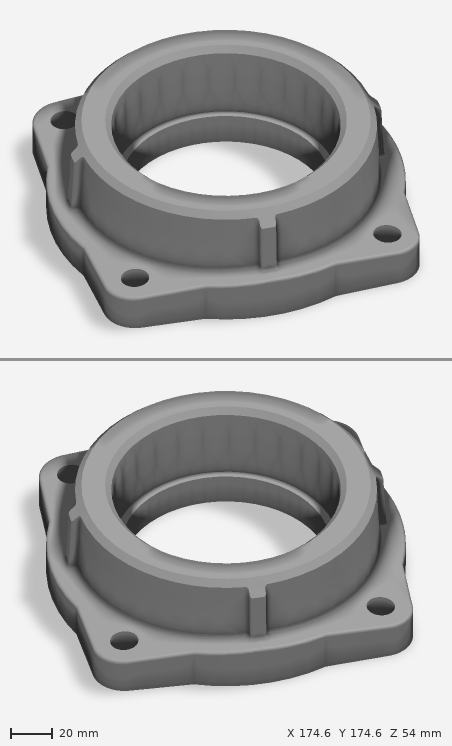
import cadquery as cq
import math

flange_radius = 87.3
ridge_height = 22.0
roof_angle = 3.0
ear_radius = 15.7
ear_side_angle = 3.0
bolt_offset = 63.5
bolt_diameter = 13.8
rim_fillet = 1.5

total_height = 54.0
chamfer_top_radius = 70.2
collar_top_radius = 73.3
draft_angle = 3.0
root_fillet = 1.4

rib_width = 8.0
rib_reach = 3.8
rib_tip_fillet = 1.4
rib_root_fillet = 1.4

through_radius = 50.8
seat_radius = 54.5
ledge_height = 15.9
seat_top_height = 21.1
bore_top_radius = 55.7
mouth_radius = 58.7

quarter_turns = (0, 90, 180, 270)
tolerance = 0.2
collar_top_height = total_height - (collar_top_radius - chamfer_top_radius)
draft_slope = math.tan(math.radians(draft_angle))


def wall_radius(height):
    """Radius of the drafted collar wall at a height above the base."""
    return collar_top_radius + (collar_top_height - height) * draft_slope


def revolve_profile(points):
    """Solid of revolution about Z from (radius, height) points."""
    return cq.Workplane("XZ").polyline(points).close().revolve(360, (0, 0, 0), (0, 1, 0))


def distance_from_axis(edge):
    center = edge.Center()
    return math.hypot(center.x, center.y)


def fillet_where(solid, belongs, radius):
    """Round every edge for which belongs(edge) is true."""
    edges = [edge for edge in solid.edges().vals() if belongs(edge)]
    return solid.newObject(edges).fillet(radius)


def rotate_point(point, angle):
    """Turn an (x, y) point about the origin by an angle in degrees."""
    turn = math.radians(angle)
    x, y = point
    return (x * math.cos(turn) - y * math.sin(turn), x * math.sin(turn) + y * math.cos(turn))


def flange_outline():
    """Closed outline, traced anticlockwise one quarter at a time from the +X lobe."""
    tilt = math.radians(ear_side_angle)
    tangent_far = bolt_offset + ear_radius * math.cos(tilt)
    tangent_near = bolt_offset + ear_radius * math.sin(tilt)
    ear_middle = bolt_offset + ear_radius * math.sqrt(0.5)
    side_distance = bolt_offset * (math.sin(tilt) + math.cos(tilt)) + ear_radius
    meet_angle = math.radians(90) - tilt - math.acos(side_distance / flange_radius)
    meet_near = flange_radius * math.cos(meet_angle)
    meet_far = flange_radius * math.sin(meet_angle)

    outline = cq.Workplane("XY").moveTo(meet_far, -meet_near)
    for turn in quarter_turns:
        outline = (
            outline.threePointArc(
                rotate_point((flange_radius, 0), turn),
                rotate_point((meet_far, meet_near), turn),
            )
            .lineTo(*rotate_point((tangent_far, tangent_near), turn))
            .threePointArc(
                rotate_point((ear_middle, ear_middle), turn),
                rotate_point((tangent_near, tangent_far), turn),
            )
            .lineTo(*rotate_point((meet_near, meet_far), turn))
        )
    return outline.close()


def make_flange():
    eave_height = ridge_height - flange_radius * math.tan(math.radians(roof_angle))
    roof = (
        cq.Workplane("YZ")
        .polyline([
            (-flange_radius, 0),
            (flange_radius, 0),
            (flange_radius, eave_height),
            (0, ridge_height),
            (-flange_radius, eave_height),
        ])
        .close()
        .extrude(flange_radius, both=True)
    )
    flange = flange_outline().extrude(ridge_height).intersect(roof)

    def is_rim(edge):
        on_ridge = abs(edge.Center().y) < tolerance
        return edge.BoundingBox().zmin > eave_height / 2 and not on_ridge

    return fillet_where(flange, is_rim, rim_fillet)


def make_rib():
    """Rib on the +X side: drafted like the collar, with rounded outer corners."""
    profile = [
        (chamfer_top_radius, 0),
        (wall_radius(0) + rib_reach, 0),
        (wall_radius(total_height) + rib_reach, total_height),
        (chamfer_top_radius, total_height),
    ]
    rib = cq.Workplane("XZ").polyline(profile).close().extrude(rib_width / 2, both=True)
    return rib.faces(">X").edges("not(|Y)").fillet(rib_tip_fillet)


def make_collar():
    collar = revolve_profile([
        (0, 0),
        (wall_radius(0), 0),
        (wall_radius(total_height), total_height),
        (0, total_height),
    ])
    rib = make_rib()
    for turn in quarter_turns:
        collar = collar.union(rib.rotate((0, 0, 0), (0, 0, 1), turn))

    def is_rib_root(edge):
        is_upright = edge.BoundingBox().zlen > total_height / 2
        center = edge.Center()
        on_flank = abs(min(abs(center.x), abs(center.y)) - rib_width / 2) < tolerance
        return is_upright and on_flank and distance_from_axis(edge) < wall_radius(0)

    collar = fillet_where(collar, is_rib_root, rib_root_fillet)

    envelope_radius = wall_radius(0) + 2 * rib_reach
    chamfer_foot_height = total_height - (envelope_radius - chamfer_top_radius)
    envelope = revolve_profile([
        (0, 0),
        (envelope_radius, 0),
        (envelope_radius, chamfer_foot_height),
        (chamfer_top_radius, total_height),
        (0, total_height),
    ])
    return collar.intersect(envelope)


def join_collar(flange, collar):
    """Fuse the collar to the flange and round the seam around the collar and its ribs."""
    def is_collar_root(edge):
        box = edge.BoundingBox()
        on_flange_top = box.zmin > tolerance and box.zmax < ridge_height + tolerance
        return on_flange_top and distance_from_axis(edge) < wall_radius(0) + rib_reach

    return fillet_where(flange.union(collar), is_collar_root, root_fillet)


def make_bore():
    return revolve_profile([
        (0, 0),
        (through_radius, 0),
        (through_radius, ledge_height),
        (seat_radius, ledge_height),
        (seat_radius, seat_top_height),
        (bore_top_radius, total_height - (mouth_radius - bore_top_radius)),
        (mouth_radius, total_height),
        (0, total_height),
    ])


def make_bolt_holes():
    return (
        cq.Workplane("XY")
        .rect(2 * bolt_offset, 2 * bolt_offset, forConstruction=True)
        .vertices()
        .circle(bolt_diameter / 2)
        .extrude(ridge_height)
    )


body = join_collar(make_flange(), make_collar())
result = body.cut(make_bore()).cut(make_bolt_holes())